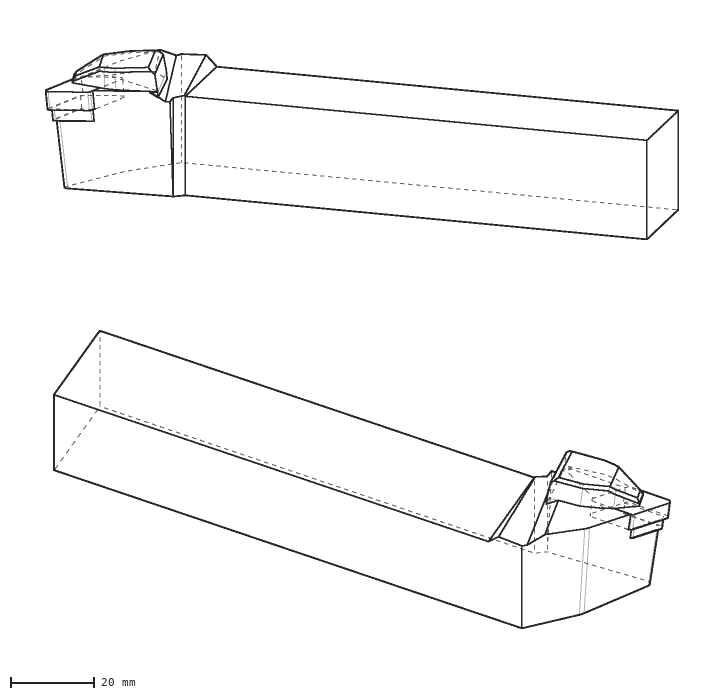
import cadquery as cq
import math

length = 149.3
shank = 25.0
shank_start = 33.1

insert_depth = 7.0
nose_height = 25.1
rise_x = 0.06
rise_y = 0.105
seat = cq.Plane(
    origin=(0, -insert_depth, nose_height),
    xDir=(1, 0, rise_x),
    normal=(-rise_x, -rise_y, 1),
)

lead_angle = 3.0
point_angle = 55.0
insert_side = 11.6
insert_thickness = 4.8
nose_radius = 0.7
shim_thickness = 3.1
shim_front_inset = 0.7
shim_flank_inset = 0.3

flank_inset = 0.5
front_inset = 0.97
head_nose_radius = 1.0
flank_relief = 0.9
bend_x = 13.5
bend_radius = 5.5
back_corner_x = 24.2
head_reach = 59.7
relief_x = 30.6
relief_y = -1.8

crest_x = 20.3
crest_y = 20.9
crest_angle = 12.0
ramp_run = 3.6
ramp_drop = 2.61

clamp_height = 6.0
clamp_draft = 4.0
clamp_underside = 27.0
clamp_outline = [
    (5.2, 7.0), (6.1, 2.8), (15.0, 0.7), (17.8, 0.6),
    (27.8, 2.1), (26.0, 15.1), (17.8, 13.7), (10.5, 10.5),
]
clamp_nose_x = 5.2
clamp_nose_height = 2.2
clamp_slope_end = 12.8
clamp_slope_turn = 10.0
clamp_edge = 0.7
clamp_rear_edge = 1.5


def along(angle):
    """Unit direction in the seat frame."""
    turn = math.radians(angle)
    return cq.Vector(math.cos(turn), math.sin(turn), 0)


front_dir = along(lead_angle)
flank_dir = along(lead_angle + point_angle)
half_point = point_angle / 2
nose_offset = nose_radius / math.sin(math.radians(half_point))
tip = cq.Vector(nose_radius, nose_radius, 0) - along(lead_angle + half_point) * nose_offset


def inset_tip(front, flank):
    """Point of the wedge whose front and flank edges are moved inwards."""
    sine = math.sin(math.radians(point_angle))
    return tip + flank_dir * (front / sine) + front_dir * (flank / sine)


def on_seat(body):
    """Move a body from the seat frame to its place on the tool."""
    return cq.Workplane(body.val().moved(seat.location))


def prism(points, bottom, top, draft=0):
    corners = [(p.x, p.y) for p in points]
    base = cq.Workplane().workplane(offset=bottom).polyline(corners).close()
    return base.extrude(top - bottom, taper=draft)


def rhombus(front, flank, bottom, top):
    """Insert outline drawn in at its front and flank pairs of sides."""
    start = inset_tip(front, flank)
    sine = math.sin(math.radians(point_angle))
    front_side = insert_side - 2 * flank / sine
    flank_side = insert_side - 2 * front / sine
    points = [
        start,
        start + front_dir * front_side,
        start + front_dir * front_side + flank_dir * flank_side,
        start + flank_dir * flank_side,
    ]
    return prism(points, bottom, top).edges("|Z").fillet(nose_radius)


def make_insert():
    return on_seat(rhombus(0, 0, -insert_thickness, 0))


def make_shim():
    bottom = -insert_thickness - shim_thickness
    return on_seat(rhombus(shim_front_inset, shim_flank_inset, bottom, -insert_thickness))


def make_head():
    start = inset_tip(front_inset, flank_inset)
    corners = [start, start + front_dir * head_reach, start + flank_dir * head_reach]
    wedge = prism(corners, -head_reach, 0)

    lean = head_reach * math.tan(math.radians(flank_relief))
    inward = cq.Vector(flank_dir.y, -flank_dir.x, 0)
    flank_plane = cq.Plane(origin=start, xDir=inward, normal=-flank_dir)
    profile = [(0, 0), (lean, -head_reach), (-head_reach, -head_reach), (-head_reach, 0)]
    relief = cq.Workplane(flank_plane).polyline(profile).close().extrude(head_reach, both=True)
    wedge = wedge.cut(relief)
    nose_edge = cq.selectors.NearestToPointSelector((lean / 2, front_inset, -head_reach / 2))
    wedge = on_seat(wedge.edges(nose_edge).fillet(head_nose_radius))

    back_offset = shank - back_corner_x
    footprint = [
        (shank_start, 0), (relief_x, relief_y), (relief_x, -head_reach),
        (-head_reach, -head_reach), (-head_reach, -head_reach + back_offset),
        (back_corner_x, shank), (shank_start, shank),
    ]
    head = wedge.intersect(cq.Workplane().polyline(footprint).close().extrude(head_reach))
    bend = cq.selectors.NearestToPointSelector((bend_x, bend_x + back_offset, shank / 2))
    head = head.edges(bend).fillet(bend_radius)
    return head.cut(on_seat(make_ramp_cutter())).cut(make_shoulder_cutter())


def make_ramp_cutter():
    profile = [
        (0, 0), (ramp_run, -ramp_drop), (head_reach, -ramp_drop),
        (head_reach, head_reach), (0, head_reach),
    ]
    cutter = cq.Workplane("XZ").polyline(profile).close().extrude(head_reach, both=True)
    cutter = cutter.rotate((0, 0, 0), (0, 0, 1), crest_angle)
    return cutter.translate((crest_x, crest_y + insert_depth, 0))


def make_shoulder_cutter():
    """45 degree slope from the ledge down to the top of the shank."""
    profile = [
        (shank_start, shank), (shank_start, shank + head_reach),
        (shank_start - head_reach, shank + head_reach),
    ]
    return cq.Workplane("XZ").polyline(profile).close().extrude(head_reach, both=True)


def make_clamp():
    outline = [cq.Vector(x, y, 0) for x, y in clamp_outline]
    clamp = prism(outline, 0, clamp_height, clamp_draft)

    slope = (clamp_height - clamp_nose_height) / (clamp_slope_end - clamp_nose_x)
    profile = [
        (0, 0),
        (-head_reach, -head_reach * slope),
        (-head_reach, head_reach),
        (0, head_reach),
    ]
    middle = sum(y for _, y in clamp_outline) / len(clamp_outline)
    cutter = cq.Workplane("XZ").polyline(profile).close().extrude(head_reach, both=True)
    cutter = cutter.rotate((0, 0, 0), (0, 0, 1), clamp_slope_turn)
    clamp = clamp.cut(cutter.translate((clamp_slope_end, middle, clamp_height)))

    crease = clamp.faces(">Z").edges("<X").val()
    rear = clamp.faces(">Z").edges(">X").val()
    upward = clamp.faces().filter(lambda f: f.normalAt().z > 0.5)
    rim = upward.edges().filter(lambda e: not e.isSame(crease) and not e.isSame(rear))
    clamp = rim.chamfer(clamp_edge)
    clamp = clamp.faces(">Z").edges(">X").chamfer(clamp_rear_edge)

    heel = prism(outline, -ramp_drop, 0).intersect(make_ramp_cutter())
    below = cq.Workplane().rect(2 * head_reach, 2 * head_reach).extrude(clamp_underside)
    return on_seat(clamp).cut(below).union(on_seat(heel))


def make_holder(insert):
    shank_body = cq.Workplane().box(length - shank_start, shank, shank, centered=False)
    shank_body = shank_body.translate((shank_start, 0, 0))
    holder = shank_body.union(make_head()).union(make_shim()).union(make_clamp())
    return holder.cut(insert)


insert = make_insert()
holder = make_holder(insert)

result = cq.Compound.makeCompound([holder.val(), insert.val()])